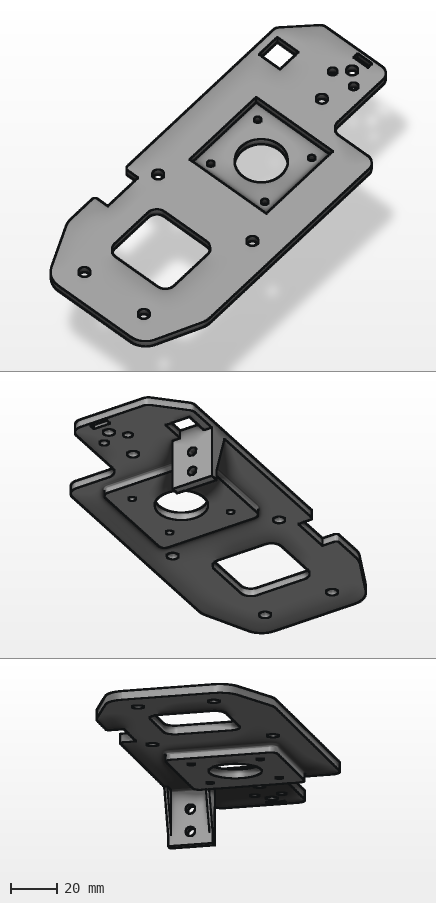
import cadquery as cq

length = 180.0
width = 80.0
thickness = 4.0
left = -width / 2
right = width / 2
neck_right = 13.3
shoulder_y = length - 40.0
corner_chamfer = 14.5
corner_radius = 5.0
chamfer_radius = 4.0
taper_length = 28.0
taper_inset = 13.0
taper_radius = 10.0

notch_depth = 7.5
notch_bottom = 46.0
notch_top = 66.0
notch_radius = 1.5

seat_y = 110.0
boss_side = 50.0
boss_radius = 3.0
boss_bottom = -8.0
boss_root_radius = 1.5
seam_margin = 0.2
pocket_side = 44.0
pocket_depth = thickness
bore_diameter = 23.0
motor_hole_pitch = 31.0
motor_hole_diameter = 3.2

window_width = 34.0
window_height = 32.0
window_radius = 5.0
window_y = 44.0
square_side = 12.0
square_x = left + 4.0 + square_side / 2
square_y = length - 18.0 - square_side / 2
slot_width = 8.3
slot_height = 2.7
slot_y = length - 3.0

mount_hole_diameter = 5.2
rear_mount_pitch = 54.0
rear_mount_y = 73.0
front_mount_pitch = 34.0
front_mount_y = 13.0
neck_hole_diameter = 5.2
neck_hole_ys = (length - 10.0, length - 30.0)
pilot_hole_diameter = 4.1
pilot_pitch = 12.0
pilot_y = length - 16.0

bracket_width = 20.0
bracket_bottom = -29.0
bracket_thickness = 4.0
bracket_back = length - 30.0
bracket_front = bracket_back - bracket_thickness
gusset_reach = 6.5
gusset_bottom = -24.0
gusset_thickness = 1.5
bracket_root_radius = 1.0
bracket_hole_diameter = 4.1
bracket_hole_zs = (-13.0, -23.0)


def block(x_size, y_size, x, y, z_top, z_bottom):
    """Upright block centred on (x, y) between two heights."""
    return (
        cq.Workplane("XY", origin=(x, y, z_bottom))
        .rect(x_size, y_size)
        .extrude(z_top - z_bottom)
    )


def holes(points, diameter):
    """Round cutters that pass through the plate and the boss."""
    return (
        cq.Workplane("XY", origin=(0, 0, boss_bottom))
        .pushPoints(points)
        .circle(diameter / 2)
        .extrude(-boss_bottom)
    )


def make_plate():
    outline = [
        (left + taper_inset, 0),
        (right - taper_inset, 0),
        (right, taper_length),
        (right, shoulder_y),
        (neck_right, shoulder_y),
        (neck_right, length),
        (left + corner_chamfer, length),
        (left, length - corner_chamfer),
        (left, notch_top),
        (left + notch_depth, notch_top),
        (left + notch_depth, notch_bottom),
        (left, notch_bottom),
        (left, taper_length),
    ]
    fillets = [
        (taper_radius, outline[0:3] + outline[12:13]),
        (corner_radius, outline[3:6]),
        (chamfer_radius, outline[6:8]),
        (notch_radius, [outline[8], outline[11]]),
    ]
    plate = cq.Workplane("XY").polyline(outline).close().extrude(-thickness)
    for radius, corners in fillets:
        for x, y in corners:
            edge = cq.selectors.NearestToPointSelector((x, y, -thickness / 2))
            plate = plate.edges("|Z").edges(edge).fillet(radius)
    return plate


def make_boss():
    boss = block(boss_side, boss_side, 0, seat_y, -thickness, boss_bottom)
    return boss.edges("|Z").fillet(boss_radius)


def fillet_boss_root(body):
    seam = cq.selectors.BoxSelector(
        (-boss_side / 2 - seam_margin, seat_y - boss_side / 2 - seam_margin, -thickness - seam_margin),
        (boss_side / 2 + seam_margin, seat_y + boss_side / 2 + seam_margin, -thickness + seam_margin),
    )
    return body.edges(seam).fillet(boss_root_radius)


def fillet_bracket_root(body):
    seam = cq.selectors.NearestToPointSelector((left + bracket_width / 2, bracket_front, -thickness))
    return body.edges("|X").edges(seam).fillet(bracket_root_radius)


def make_bracket():
    wall = block(
        bracket_width,
        bracket_thickness,
        left + bracket_width / 2,
        bracket_back - bracket_thickness / 2,
        -thickness,
        bracket_bottom,
    )
    gusset_profile = [
        (bracket_front, -thickness),
        (bracket_front - gusset_reach, -thickness),
        (bracket_front, gusset_bottom),
    ]
    for x in (left, left + bracket_width - gusset_thickness):
        gusset = (
            cq.Workplane("YZ", origin=(x, 0, 0))
            .polyline(gusset_profile)
            .close()
            .extrude(gusset_thickness)
        )
        wall = wall.union(gusset)
    bracket_holes = (
        cq.Workplane("XZ", origin=(0, bracket_back, 0))
        .pushPoints([(left + bracket_width / 2, z) for z in bracket_hole_zs])
        .circle(bracket_hole_diameter / 2)
        .extrude(bracket_thickness)
    )
    return wall.cut(bracket_holes)


def cut_motor_seat(body):
    pitch = motor_hole_pitch / 2
    hole_points = [(x, seat_y + y) for x in (-pitch, pitch) for y in (-pitch, pitch)]
    body = body.cut(block(pocket_side, pocket_side, 0, seat_y, 0, -pocket_depth))
    body = body.cut(holes([(0, seat_y)], bore_diameter))
    return body.cut(holes(hole_points, motor_hole_diameter))


def cut_openings(body):
    window = block(window_width, window_height, 0, window_y, 0, -thickness)
    body = body.cut(window.edges("|Z").fillet(window_radius))
    body = body.cut(block(square_side, square_side, square_x, square_y, 0, -thickness))
    return body.cut(block(slot_width, slot_height, 0, slot_y, 0, -thickness))


def cut_plate_holes(body):
    mount_points = [
        (side * pitch / 2, y)
        for side in (-1, 1)
        for pitch, y in ((rear_mount_pitch, rear_mount_y), (front_mount_pitch, front_mount_y))
    ]
    pilot_points = [(side * pilot_pitch / 2, pilot_y) for side in (-1, 1)]
    body = body.cut(holes(mount_points, mount_hole_diameter))
    body = body.cut(holes([(0, y) for y in neck_hole_ys], neck_hole_diameter))
    return body.cut(holes(pilot_points, pilot_hole_diameter))


body = make_plate().union(make_boss())
body = fillet_boss_root(body)
body = body.union(make_bracket())
body = fillet_bracket_root(body)
body = cut_motor_seat(body)
body = cut_openings(body)
result = cut_plate_holes(body)